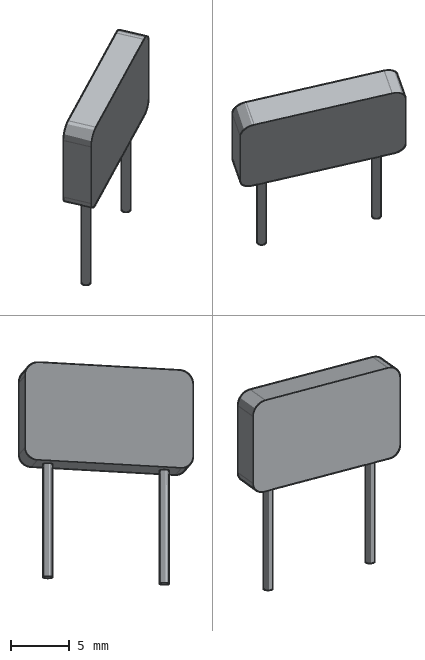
import cadquery as cq

total_height = 18.64
body_thickness = 2.54
body_width = 14.73
lead_length = 10.0
lead_diameter = 0.82
lead_spacing = 10.2
top_corner_radius = 1.23
bottom_corner_radius = 1.06

body_height = total_height - lead_length


def make_body():
    """Flat upright block with rounded corners running along X."""
    block = cq.Workplane("XY").box(
        body_thickness, body_width, body_height, centered=(True, True, False)
    )
    block = block.faces(">Z").edges("|X").fillet(top_corner_radius)
    return block.faces("<Z").edges("|X").fillet(bottom_corner_radius)


def make_leads():
    """Two round leads hanging straight down from the body."""
    return (
        cq.Workplane("XY")
        .pushPoints([(0, -lead_spacing / 2), (0, lead_spacing / 2)])
        .circle(lead_diameter / 2)
        .extrude(-lead_length)
    )


result = make_body().union(make_leads())